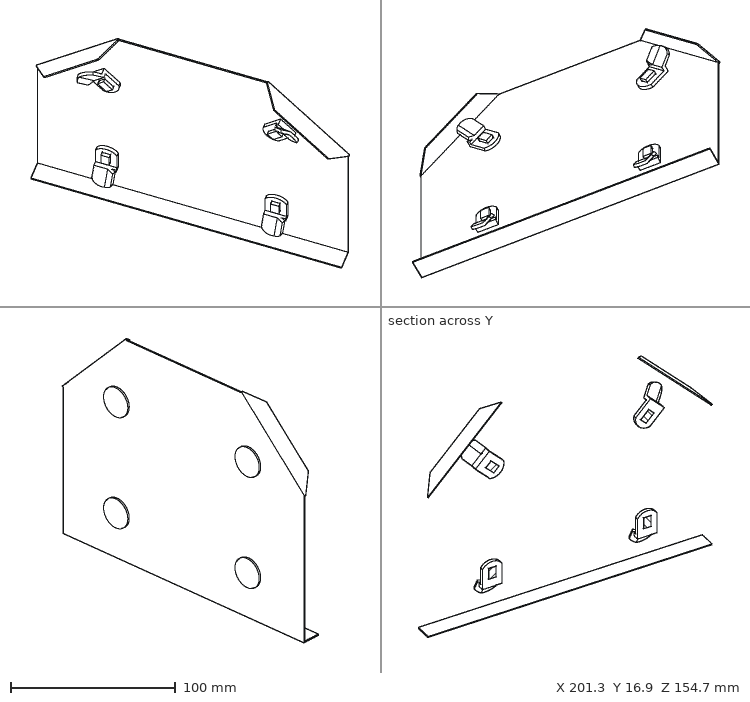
import cadquery as cq
import math


SHEET = 1.0
PLATE_WIDTH = 199.9
PLATE_HEIGHT = 154.0
CORNER_LEG = 52.5
CORNER_ANGLE = 45.0
FLANGE_DEPTH = 12.9
FLANGE_END_INSET = 12.5

KNOB_DIAMETER = 20.1
KNOB_BACK = 3.5
KNOB_RIM_BACK = 1.8
KNOB_FLAT_DIAMETER = 10.9
KNOB_GAP = 0.5
SHAFT_WIDTH = 5.5
SHAFT_LENGTH = 8.0
SHAFT_REACH = 6.2

LATCH_WIDTH = 13.9
LATCH_GAP = 0.5
LATCH_THICKNESS = 2.5
LATCH_HEAD_RADIUS = 8.3
FOOT_DROP = 10.0
FOOT_REACH = 5.8
TAB_THICKNESS = 2.0
TAB_TILT = 28.0
TAB_LENGTH = 11.0
FLAP_ANGLE = 28.0
FLAP_CREASE_X = 1.91

FASTENER_X = 54.5
LOWER_Z = 32.0
UPPER_Z = 109.0
UPPER_TURN = 135.0
FASTENERS = [
    (-FASTENER_X, LOWER_Z, 0.0),
    (FASTENER_X, LOWER_Z, 0.0),
    (-FASTENER_X, UPPER_Z, UPPER_TURN),
    (FASTENER_X, UPPER_Z, -UPPER_TURN),
]


def place(shape, fastener):
    """Turn a shape modelled around the Y axis and move it to its fastener position."""
    x, z, turn = fastener
    return shape.rotate((0, 0, 0), (0, 1, 0), turn).translate((x, 0, z))


def make_shaft():
    """Rectangular shaft running forward from the front of the knob."""
    shaft_start = cq.Workplane("XZ", origin=(0, KNOB_GAP, 0))
    return shaft_start.rect(SHAFT_WIDTH, SHAFT_LENGTH).extrude(SHAFT_REACH + KNOB_GAP)


def make_knob():
    """Round knob behind the plate with a rounded back edge, in one piece with its shaft."""
    radius = KNOB_DIAMETER / 2
    flat_radius = KNOB_FLAT_DIAMETER / 2
    head = (
        cq.Workplane("XY")
        .moveTo(0, KNOB_GAP)
        .lineTo(0, KNOB_BACK)
        .lineTo(flat_radius, KNOB_BACK)
        .tangentArcPoint((radius, KNOB_RIM_BACK), relative=False)
        .lineTo(radius, KNOB_GAP)
        .close()
        .revolve(360, (0, 0, 0), (0, 1, 0))
    )
    return head.union(make_shaft())


def make_tab():
    """Tilted finger tab with one side flap bent forward and a rounded tip."""
    tilt = math.radians(TAB_TILT)
    flap = math.radians(FLAP_ANGLE)
    half = LATCH_WIDTH / 2
    along = cq.Vector(0, -math.sin(tilt), -math.cos(tilt))
    normal = cq.Vector(0, -math.cos(tilt), math.sin(tilt))
    heel = cq.Vector(0, -FOOT_REACH, -FOOT_DROP)

    flap_front_x = half - TAB_THICKNESS * math.sin(flap)
    flap_rise = (flap_front_x - FLAP_CREASE_X) * math.tan(flap)
    flap_back_y = TAB_THICKNESS * (1 - math.cos(flap)) + flap_rise
    back_crease_x = FLAP_CREASE_X + TAB_THICKNESS * math.tan(flap / 2)
    overrun = 3 * LATCH_THICKNESS
    strip = (
        cq.Workplane(cq.Plane(heel - along * overrun, (1, 0, 0), along))
        .moveTo(-half, 0)
        .lineTo(back_crease_x, 0)
        .lineTo(half, flap_back_y)
        .lineTo(flap_front_x, TAB_THICKNESS + flap_rise)
        .lineTo(FLAP_CREASE_X, TAB_THICKNESS)
        .lineTo(-half, TAB_THICKNESS)
        .close()
        .extrude(overrun + TAB_LENGTH)
    )
    top_z = LATCH_THICKNESS - FOOT_DROP
    cutter_size = 4 * LATCH_WIDTH
    above_foot = (
        cq.Workplane("XY", origin=(0, 0, top_z)).rect(cutter_size, cutter_size).extrude(cutter_size)
    )

    tip_drop = LATCH_HEAD_RADIUS - math.sqrt(LATCH_HEAD_RADIUS**2 - half**2)
    outline = (
        cq.Workplane(cq.Plane(heel - normal * overrun, (1, 0, 0), normal))
        .moveTo(-half, overrun)
        .lineTo(-half, tip_drop - TAB_LENGTH)
        .threePointArc((0, -TAB_LENGTH), (half, tip_drop - TAB_LENGTH))
        .lineTo(half, overrun)
        .close()
        .extrude(3 * overrun)
    )
    return strip.cut(above_foot).intersect(outline)


def make_latch():
    """Latch arm just in front of the plate, with a foot, a finger tab and a hole for the shaft."""
    half = LATCH_WIDTH / 2
    shoulder_z = math.sqrt(LATCH_HEAD_RADIUS**2 - half**2)
    back_y = -SHEET - LATCH_GAP
    arm = (
        cq.Workplane("XZ", origin=(0, back_y, 0))
        .moveTo(-half, -FOOT_DROP)
        .lineTo(half, -FOOT_DROP)
        .lineTo(half, shoulder_z)
        .threePointArc((0, LATCH_HEAD_RADIUS), (-half, shoulder_z))
        .close()
        .extrude(LATCH_THICKNESS)
    )
    foot_length = FOOT_REACH + back_y
    foot = cq.Workplane("XY", origin=(0, back_y - foot_length / 2, -FOOT_DROP)).box(
        LATCH_WIDTH, foot_length, LATCH_THICKNESS, centered=(True, True, False)
    )
    return arm.union(foot).union(make_tab()).cut(make_shaft())


def make_corner_flange():
    """Flange along the left corner cut, standing just outside it, with slanted ends."""
    length = CORNER_LEG * math.sqrt(2)
    return (
        cq.Workplane("XY")
        .polyline([
            (0, 0),
            (0, -SHEET),
            (FLANGE_END_INSET, -FLANGE_DEPTH),
            (length - FLANGE_END_INSET, -FLANGE_DEPTH),
            (length, -SHEET),
            (length, 0),
        ])
        .close()
        .extrude(SHEET)
        .rotate((0, 0, 0), (0, 1, 0), -CORNER_ANGLE)
        .translate((-PLATE_WIDTH / 2, 0, PLATE_HEIGHT - CORNER_LEG))
    )


def make_plate():
    """Sheet plate with cut upper corners, three flanges and a hole for each shaft."""
    half = PLATE_WIDTH / 2
    plate = (
        cq.Workplane("XZ")
        .polyline([
            (-half, 0),
            (half, 0),
            (half, PLATE_HEIGHT - CORNER_LEG),
            (half - CORNER_LEG, PLATE_HEIGHT),
            (CORNER_LEG - half, PLATE_HEIGHT),
            (-half, PLATE_HEIGHT - CORNER_LEG),
        ])
        .close()
        .extrude(SHEET)
    )
    bottom_flange = cq.Workplane("XY", origin=(0, -FLANGE_DEPTH / 2, 0)).box(
        PLATE_WIDTH, FLANGE_DEPTH, SHEET, centered=(True, True, False)
    )
    corner_flange = make_corner_flange()
    plate = plate.union(bottom_flange).union(corner_flange).union(corner_flange.mirror("YZ"))
    for fastener in FASTENERS:
        plate = plate.cut(place(make_shaft(), fastener))
    return plate


plate = make_plate()
knobs = []
latches = []
for fastener in FASTENERS:
    knobs.append(place(make_knob(), fastener).val())
    latches.append(place(make_latch(), fastener).val())

result = cq.Compound.makeCompound([plate.val(), *knobs, *latches])